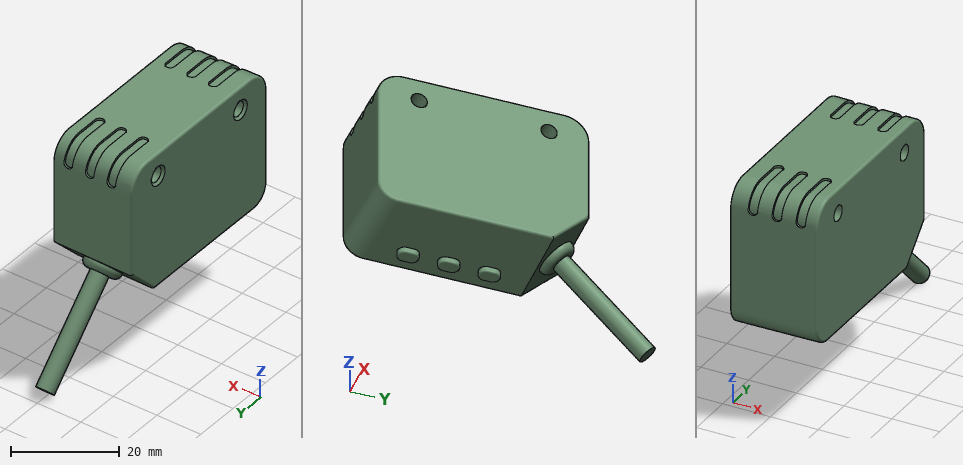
import cadquery as cq
import math

thickness = 18.2
length = 42.0
height = 30.0
end_draft = 0.3
top_corner_radius = 5.0
bottom_corner_radius = 4.0
corner_cut = 7.0
edge_fillet = 0.5

half_length = length / 2
left_face_x = -thickness / 2

hole_diameter = 3.2
hole_spacing = 25.5
hole_drop = 5.0
hole_chamfer = 0.5

groove_width = 1.95
groove_depth = 0.45
groove_pitch = 5.0
groove_middle_x = 0.65
groove_reach = 11.0
groove_drop = 5.0

button_width = 2.85
button_length = 4.2
button_height = 1.2
button_fillet = 0.35
button_x = -4.35
button_pitch = 8.0
button_middle_y = -1.9

cable_diameter = 3.8
cable_end_reach = 36.85
grommet_diameter = 7.85
grommet_height = 1.5
grommet_fillet = 1.4

diagonal = math.sqrt(0.5)


def housing_outline(x, end_y, inset=0.0):
    """Closed outline in the YZ plane at x, with its ends at +-end_y, shrunk by inset."""
    end_y = end_y - inset
    top_z = height - inset
    top_radius = top_corner_radius - inset
    bottom_radius = bottom_corner_radius - inset
    bottom_z = inset
    cut = corner_cut - inset * (2 - math.sqrt(2))
    top_bend = top_radius * (1 - diagonal)
    bottom_bend = bottom_radius * (1 - diagonal)
    return (
        cq.Workplane("YZ", origin=(x, 0, 0))
        .moveTo(end_y - cut, bottom_z)
        .lineTo(end_y, bottom_z + cut)
        .lineTo(end_y, top_z - top_radius)
        .threePointArc((end_y - top_bend, top_z - top_bend), (end_y - top_radius, top_z))
        .lineTo(top_radius - end_y, top_z)
        .threePointArc((top_bend - end_y, top_z - top_bend), (-end_y, top_z - top_radius))
        .lineTo(-end_y, bottom_z + bottom_radius)
        .threePointArc(
            (bottom_bend - end_y, bottom_z + bottom_bend),
            (bottom_radius - end_y, bottom_z),
        )
        .close()
        .val()
    )


def drafted_block(inset=0.0):
    """Housing block whose outline shortens evenly from the -X face to the +X face."""
    wires = [
        housing_outline(left_face_x, half_length, inset),
        housing_outline(-left_face_x, half_length - end_draft, inset),
    ]
    return cq.Workplane(cq.Solid.makeLoft(wires, True))


def mounting_hole(y):
    """Cutter for a through hole with a chamfered mouth on the -X face."""
    hole_z = height - hole_drop
    radius = hole_diameter / 2
    bore = cq.Workplane("YZ", origin=(left_face_x, y, hole_z)).circle(radius).extrude(thickness)
    mouth = cq.Solid.makeCone(
        radius + hole_chamfer,
        radius,
        hole_chamfer,
        pnt=cq.Vector(left_face_x, y, hole_z),
        dir=cq.Vector(1, 0, 0),
    )
    return bore.union(cq.Workplane(mouth))


def grip_groove(x, side):
    """Shallow band with round ends over one top corner; side is +1 or -1 in Y."""
    radius = groove_width / 2
    top_round_y = half_length - groove_reach + radius
    end_round_z = height - groove_drop + radius
    from_above = (
        cq.Workplane("XY")
        .center(x, side * (top_round_y + half_length / 2))
        .rect(groove_width, half_length)
        .extrude(height)
        .union(cq.Workplane("XY").center(x, side * top_round_y).circle(radius).extrude(height))
    )
    from_end = (
        cq.Workplane("XZ")
        .center(x, end_round_z + height / 2)
        .rect(groove_width, height)
        .extrude(half_length, both=True)
        .union(
            cq.Workplane("XZ")
            .center(x, end_round_z)
            .circle(radius)
            .extrude(half_length, both=True)
        )
    )
    return from_above.intersect(from_end).cut(drafted_block(groove_depth))


def button(y):
    """Oblong button with a rounded lower rim."""
    return (
        cq.Workplane("XY", origin=(button_x, y, 0))
        .slot2D(button_length, button_width, 90)
        .extrude(-button_height)
        .faces("<Z")
        .edges()
        .fillet(button_fillet)
    )


def cable_and_grommet():
    """Domed grommet, rooted a little inside the drafted cut corner, and its round cable."""
    cut_middle = (0, half_length - corner_cut / 2, corner_cut / 2)
    cable_axis_end_y = cable_end_reach - cable_diameter / 2 * diagonal
    cable_length = (cable_axis_end_y - cut_middle[1]) / diagonal
    cut_plane = cq.Plane(origin=cut_middle, xDir=(1, 0, 0), normal=(0, 1, -1))
    grommet = (
        cq.Workplane(cut_plane)
        .workplane(offset=-end_draft)
        .circle(grommet_diameter / 2)
        .extrude(end_draft + grommet_height)
        .faces(cq.selectors.DirectionMinMaxSelector(cut_plane.zDir, True))
        .edges()
        .fillet(grommet_fillet)
    )
    cable = cq.Workplane(cut_plane).circle(cable_diameter / 2).extrude(cable_length)
    return grommet.union(cable)


housing = drafted_block().faces("<X or >X").edges().fillet(edge_fillet)

for side in (-1, 1):
    housing = housing.cut(mounting_hole(side * hole_spacing / 2))

for column in (-1, 0, 1):
    for side in (-1, 1):
        housing = housing.cut(grip_groove(groove_middle_x + column * groove_pitch, side))

for row in (-1, 0, 1):
    housing = housing.union(button(button_middle_y + row * button_pitch))

result = housing.union(cable_and_grommet())